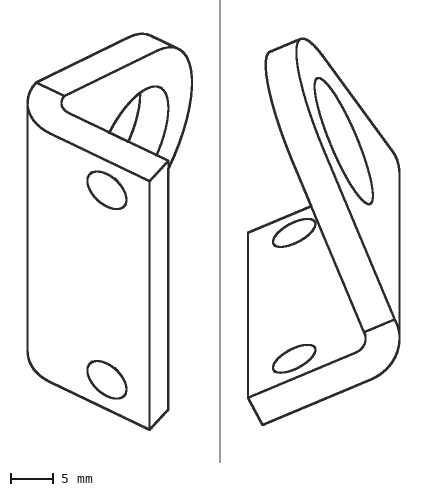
import cadquery as cq
import math

height = 42.0
flange_width = 20.0
thickness = 4.0
inner_bend_radius = 2.0
outer_bend_radius = inner_bend_radius + thickness

eye_diameter = 16.0
eye_y = 20.0
tab_radius = 13.0
tab_end_y = eye_y + tab_radius

mount_hole_diameter = 5.5
mount_hole_x = 14.0
mount_hole_spacing = 32.0

middle_z = height / 2


def bent_sheet():
    """L-shaped sheet with a rounded bend, extruded over the full height."""
    profile = (
        cq.Workplane("XY")
        .moveTo(outer_bend_radius, 0)
        .lineTo(flange_width, 0)
        .lineTo(flange_width, thickness)
        .lineTo(outer_bend_radius, thickness)
        .radiusArc((thickness, outer_bend_radius), inner_bend_radius)
        .lineTo(thickness, tab_end_y)
        .lineTo(0, tab_end_y)
        .lineTo(0, outer_bend_radius)
        .radiusArc((outer_bend_radius, 0), -outer_bend_radius)
        .close()
    )
    return profile.extrude(height)


def side_outline():
    """Block whose side outline tapers along tangents into the rounded tab end."""
    corner_dy = outer_bend_radius - eye_y
    corner_distance = math.hypot(corner_dy, middle_z)
    corner_angle = math.atan2(middle_z, corner_dy)
    tangent_angle = corner_angle - math.acos(tab_radius / corner_distance)
    tangent_y = eye_y + tab_radius * math.cos(tangent_angle)
    tangent_dz = tab_radius * math.sin(tangent_angle)
    return (
        cq.Workplane("YZ")
        .moveTo(0, 0)
        .lineTo(outer_bend_radius, 0)
        .lineTo(tangent_y, middle_z - tangent_dz)
        .threePointArc((tab_end_y, middle_z), (tangent_y, middle_z + tangent_dz))
        .lineTo(outer_bend_radius, height)
        .lineTo(0, height)
        .close()
        .extrude(flange_width)
    )


def eye_hole():
    return (
        cq.Workplane("YZ")
        .center(eye_y, middle_z)
        .circle(eye_diameter / 2)
        .extrude(thickness)
    )


def mount_holes():
    return (
        cq.Workplane("XZ")
        .center(mount_hole_x, middle_z)
        .rarray(0.4, mount_hole_spacing, 1, 2)
        .circle(mount_hole_diameter / 2)
        .extrude(-thickness)
    )


result = bent_sheet().intersect(side_outline()).cut(eye_hole()).cut(mount_holes())